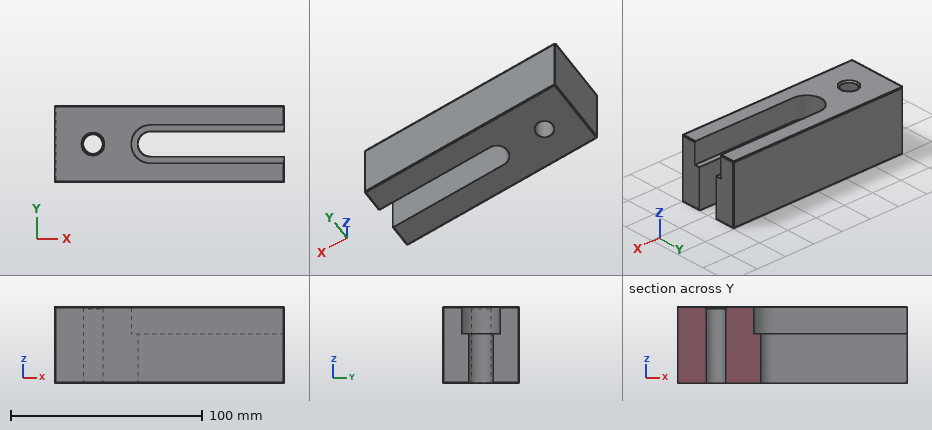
import cadquery as cq

length = 120.0
width = 40.0
height = 40.0
edge_chamfer = 0.5

hole_diameter = 10.11
hole_mouth_diameter = 12.0
hole_from_closed_end = 20.0

slot_width = 13.0
groove_width = 20.0
groove_depth = 14.0
slot_centre_from_closed_end = 50.0

closed_end_x = -length / 2
open_end_x = length / 2
hole_x = closed_end_x + hole_from_closed_end
slot_centre_x = closed_end_x + slot_centre_from_closed_end


def chamfered_block():
    """Block with every edge broken except the top edge of the closed end."""
    block = cq.Workplane("XY").box(length, width, height, centered=(True, True, False))
    return block.edges("not (<X and >Z)").chamfer(edge_chamfer)


def open_slot(cut_width, floor_z):
    """Cutter from floor_z to the top, round at its inner end and running out at +X."""
    radius = cut_width / 2
    return (
        cq.Workplane("XY", origin=(0, 0, floor_z))
        .moveTo(open_end_x, -radius)
        .lineTo(slot_centre_x, -radius)
        .threePointArc((slot_centre_x - radius, 0), (slot_centre_x, radius))
        .lineTo(open_end_x, radius)
        .close()
        .extrude(height - floor_z)
    )


def countersunk_hole():
    """Cutter for the vertical through hole with a 90 degree countersink at the top."""
    countersink_depth = (hole_mouth_diameter - hole_diameter) / 2
    bore = cq.Workplane("XY", origin=(hole_x, 0, 0)).circle(hole_diameter / 2).extrude(height)
    countersink = (
        cq.Workplane("XY", origin=(hole_x, 0, height))
        .circle(hole_mouth_diameter / 2)
        .extrude(-countersink_depth, taper=45)
    )
    return bore.union(countersink)


result = chamfered_block()
result = result.cut(open_slot(slot_width, 0))
result = result.cut(open_slot(groove_width, height - groove_depth))
result = result.cut(countersunk_hole())